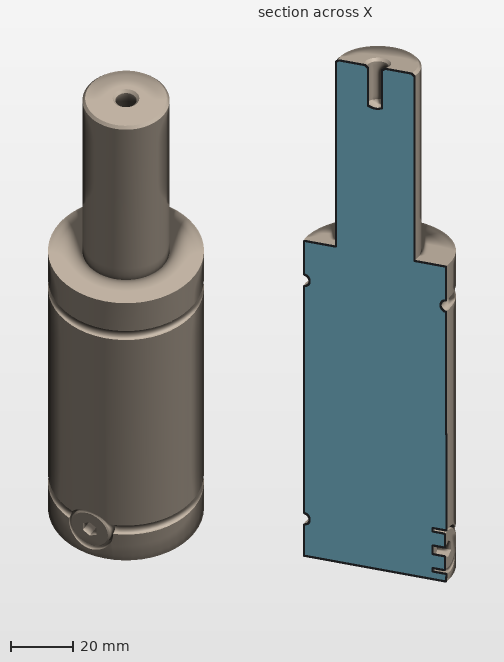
import cadquery as cq
import math

total_height = 178.0
body_diameter = 50.0
body_height = 111.8
rod_diameter = 28.0
rod_chamfer = 0.9

groove_width = 4.0
groove_heights = (13.2, 97.7)

rod_hole_diameter = 6.8
rod_hole_mouth_diameter = 8.5
rod_hole_depth = 14.2
drill_point_angle = 118.0

plug_height = 10.5
recess_diameter = 16.0
recess_depth = 5.0
plug_diameter = 14.0
plug_chamfer = 0.45
plug_face_depth = 0.5
socket_width = 5.0
socket_depth = 4.5

body_radius = body_diameter / 2


def make_cylinder_and_rod():
    body = cq.Workplane("XY").circle(body_radius).extrude(body_height)
    rod = cq.Workplane("XY").circle(rod_diameter / 2).extrude(total_height)
    return body.union(rod.faces(">Z").chamfer(rod_chamfer))


def make_groove(center_height):
    """Ring of half-round section, as deep as half its width."""
    return (
        cq.Workplane("XZ")
        .moveTo(body_radius, center_height - groove_width / 2)
        .threePointArc(
            (body_radius - groove_width / 2, center_height),
            (body_radius, center_height + groove_width / 2),
        )
        .close()
        .revolve(360, (0, 0, 0), (0, 1, 0))
    )


def make_rod_hole():
    """Blind hole with a 45 degree countersink and a conical drill point."""
    radius = rod_hole_diameter / 2
    mouth_radius = rod_hole_mouth_diameter / 2
    floor = total_height - rod_hole_depth
    point_length = radius / math.tan(math.radians(drill_point_angle / 2))
    return (
        cq.Workplane("XZ")
        .moveTo(0, total_height)
        .lineTo(mouth_radius, total_height)
        .lineTo(radius, total_height - (mouth_radius - radius))
        .lineTo(radius, floor)
        .lineTo(0, floor - point_length)
        .close()
        .revolve(360, (0, 0, 0), (0, 1, 0))
    )


def side_plane(depth):
    """Workplane facing -Y at the plug axis, the given depth inside the body wall."""
    return cq.Workplane("XZ", origin=(0, depth - body_radius, plug_height))


def make_side_disc(diameter, front_depth, back_depth):
    """Disc on the plug axis between two depths inside the body wall."""
    return side_plane(front_depth).circle(diameter / 2).extrude(front_depth - back_depth)


def make_plug():
    plug = make_side_disc(plug_diameter, plug_face_depth, recess_depth)
    return plug.faces("<Y").chamfer(plug_chamfer)


def make_socket():
    """Hexagonal key socket with corners pointing up and down."""
    corner_diameter = socket_width / math.cos(math.pi / 6)
    return (
        side_plane(plug_face_depth)
        .transformed(rotate=(0, 0, 90))
        .polygon(6, corner_diameter)
        .extrude(-socket_depth)
    )


result = make_cylinder_and_rod()
for groove_height in groove_heights:
    result = result.cut(make_groove(groove_height))
result = result.cut(make_rod_hole())

result = result.cut(make_side_disc(recess_diameter, 0, recess_depth))
result = result.union(make_plug()).cut(make_socket())